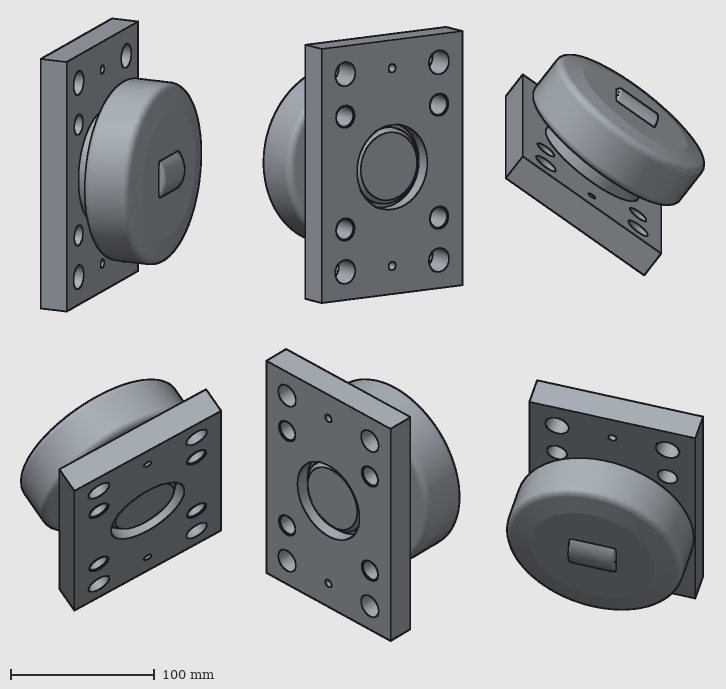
import cadquery as cq
import math

plate_height = 180
plate_width = 120.0
plate_thickness = 20.0

hole_side_offset = 40.0
bolt_hole_diameter = 17.0
bolt_hole_height = 70.0
pin_hole_diameter = 6.0
tapped_hole_diameter = 14.4
tapped_hole_height = 40.0
tapped_hole_chamfer = 0.7

bore_diameter = 60.0
bore_depth = 10.0
axle_diameter = 54
axle_chamfer = 3.0
axle_end_depth = 4.0

hub_diameter = 80.5
wheel_diameter = 127.8
wheel_start = 33.8
wheel_end = 71.0
wheel_face_radius = 45
wheel_rounding = 4.9
wheel_face_angle = math.radians(10)

roller_tip = 76.0
roller_radius = 20.0
roller_length = 33.8
roller_rounding = 2.0


def disc(diameter, start, end):
    """Cylinder along X between two X positions."""
    return cq.Workplane("YZ", origin=(start, 0, 0)).circle(diameter / 2).extrude(end - start)


def plate_holes(diameter, points):
    return cq.Workplane("YZ").pushPoints(points).circle(diameter / 2).extrude(plate_thickness)


def corners(height):
    return [(y, z) for y in (-hole_side_offset, hole_side_offset) for z in (-height, height)]


def make_plate():
    plate = cq.Workplane("YZ").rect(plate_width, plate_height).extrude(plate_thickness)
    plate = plate.cut(plate_holes(bolt_hole_diameter, corners(bolt_hole_height)))
    pin_points = [(0, -bolt_hole_height), (0, bolt_hole_height)]
    plate = plate.cut(plate_holes(pin_hole_diameter, pin_points))

    tapped_hole = disc(tapped_hole_diameter, 0, plate_thickness)
    mouth = cq.Workplane("XY").polyline([
        (0, 0),
        (0, tapped_hole_diameter / 2 + tapped_hole_chamfer),
        (tapped_hole_chamfer, tapped_hole_diameter / 2),
        (tapped_hole_chamfer, 0),
    ]).close().revolve(360, (0, 0, 0), (1, 0, 0))
    cutter = tapped_hole.union(mouth)
    for y, z in corners(tapped_hole_height):
        plate = plate.cut(cutter.translate((0, y, z)))

    axle_end = disc(axle_diameter, axle_end_depth, plate_thickness)
    axle_end = axle_end.faces("<X").chamfer(axle_chamfer)
    return plate.cut(disc(bore_diameter, 0, bore_depth)).union(axle_end)


def make_wheel():
    """Wheel with rounded rims and a shallow conical outer face."""
    radius = wheel_diameter / 2
    cone_depth = (radius - wheel_face_radius) * math.tan(wheel_face_angle)
    profile = [
        (wheel_start, 0),
        (wheel_start, radius),
        (wheel_end - cone_depth, radius),
        (wheel_end, wheel_face_radius),
        (wheel_end, 0),
    ]
    wheel = cq.Workplane("XY").polyline(profile).close().revolve(360, (0, 0, 0), (1, 0, 0))
    rim_corner = cq.selectors.RadiusNthSelector(-1)
    return wheel.edges("%CIRCLE").edges(rim_corner).fillet(wheel_rounding)


def make_roller():
    roller = cq.Workplane("XZ").circle(roller_radius).extrude(roller_length / 2, both=True)
    roller = roller.edges("%CIRCLE").fillet(roller_rounding)
    return roller.translate((roller_tip - roller_radius, 0, 0))


hub = disc(hub_diameter, plate_thickness, wheel_start)
result = make_plate().union(hub).union(make_wheel()).union(make_roller())